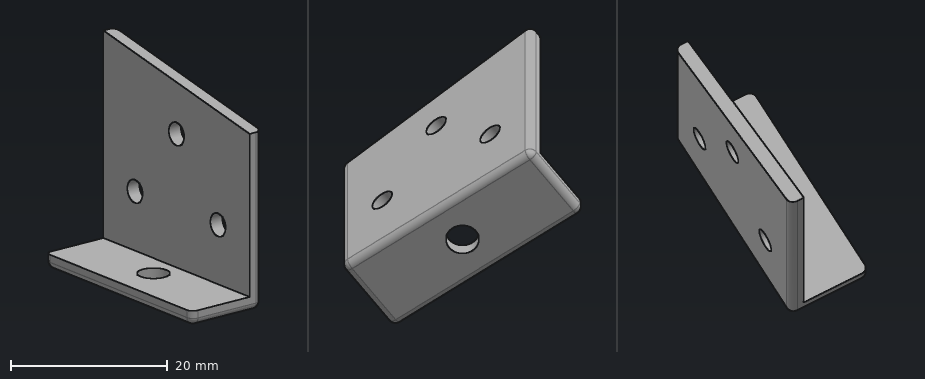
import cadquery as cq

width = 30.0
depth = 11.5
height = 30.0
thickness = 2.0
edge_radius = 1.0

top_drop = 6.0

wall_hole_diameter = 3.1
lower_hole_spacing = 17.0
lower_hole_height = 10.0
upper_hole_height = 20.0

foot_hole_diameter = 4.2


def rounded_blank():
    """Full block with rounded vertical edges and a rounded bottom rim."""
    block = cq.Workplane("XY").box(width, depth, height, centered=(True, True, False))
    return block.edges("|Z or <Z").fillet(edge_radius)


def inner_space():
    """Block in front of the wall and above the foot."""
    return (
        cq.Workplane("XY")
        .box(width, depth, height, centered=(True, True, False))
        .translate((0, -thickness, thickness))
    )


def top_wedge():
    """Triangular prism above the sloped top of the wall."""
    return (
        cq.Workplane("XZ")
        .moveTo(-width / 2, height)
        .lineTo(width / 2, height)
        .lineTo(width / 2, height - top_drop)
        .close()
        .extrude(depth / 2, both=True)
    )


def wall_holes():
    """Three pins along Y that drill the wall."""
    centres = [
        (-lower_hole_spacing / 2, lower_hole_height),
        (lower_hole_spacing / 2, lower_hole_height),
        (0, upper_hole_height),
    ]
    return (
        cq.Workplane("XZ")
        .pushPoints(centres)
        .circle(wall_hole_diameter / 2)
        .extrude(depth / 2, both=True)
    )


def foot_hole():
    """Pin along Z that drills the foot."""
    return cq.Workplane("XY").circle(foot_hole_diameter / 2).extrude(thickness)


bracket = rounded_blank().cut(inner_space()).cut(top_wedge())
result = bracket.cut(wall_holes()).cut(foot_hole())